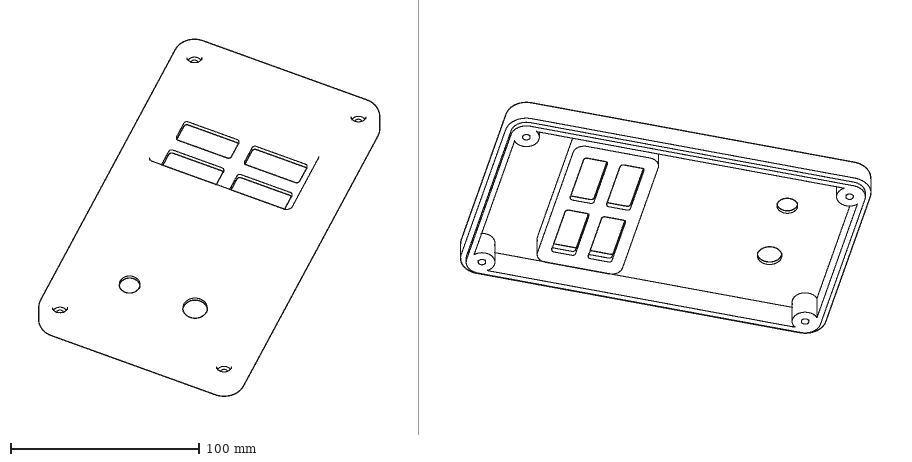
import cadquery as cq

LENGTH_X = 117.9
LENGTH_Y = 199.8
HEIGHT = 16.8
EDGE_ROUND = 3.0

SCREW_PITCH_X = 95.1
CORNER_RADIUS = (LENGTH_X - SCREW_PITCH_X) / 2
SCREW_PITCH_Y = LENGTH_Y - 2 * CORNER_RADIUS
SCREW_HOLE_DIAMETER = 4
SCREW_HEAD_DIAMETER = 7.8
SCREW_HEAD_DEPTH = 8

LIP_HEIGHT = 2.8
LIP_INSET = 3.0
LIP_WIDTH = 3.0
TOP_THICKNESS = 2
SKIN = 3.0
CAVITY_INSET = LIP_INSET + LIP_WIDTH
CAVITY_HEIGHT = HEIGHT - TOP_THICKNESS
BOSS_DIAMETER = SCREW_HEAD_DIAMETER + 2 * SKIN

PANEL_X = -2.2
PANEL_Y = 37.8
PANEL_LENGTH_X = 82.3
PANEL_LENGTH_Y = 40.5
PANEL_DEPTH = 11.0
PANEL_FLOOR_THICKNESS = 3.0
PANEL_FLOOR_Z = HEIGHT - PANEL_DEPTH

SLOT_LENGTH_X = 31.8
SLOT_LENGTH_Y = 13.0
SLOT_CORNER_RADIUS = 1.5
SLOT_PITCH_X = 39.5
SLOT_PITCH_Y = 20

ROUND_HOLES = [(-19.0, 11.0), (19.0, 13.0)]
ROUND_HOLES_Y = -61.7


def rounded_block(length_x, length_y, height, corner_radius):
    """Block standing on Z = 0 with rounded vertical edges."""
    block = cq.Workplane("XY").box(length_x, length_y, height, centered=(True, True, False))
    return block.edges("|Z").fillet(corner_radius)


def inset_block(inset, height):
    """Block that follows the body outline at an even inset."""
    return rounded_block(LENGTH_X - 2 * inset, LENGTH_Y - 2 * inset, height, CORNER_RADIUS - inset)


def at_screws():
    """Workplane at Z = 0 with a point at each corner screw."""
    return cq.Workplane("XY").rarray(SCREW_PITCH_X, SCREW_PITCH_Y, 2, 2)


def make_body():
    """Solid body with a rounded top edge and a stepped lip below."""
    body = inset_block(0, HEIGHT - LIP_HEIGHT).faces(">Z").edges().fillet(EDGE_ROUND)
    lip = inset_block(LIP_INSET, HEIGHT - EDGE_ROUND)
    return body.translate((0, 0, LIP_HEIGHT)).union(lip)


def make_cavity():
    """Hollow of the underside, less the screw bosses and the tub around the panel."""
    bosses = at_screws().circle(BOSS_DIAMETER / 2).extrude(HEIGHT)
    tub = rounded_block(
        PANEL_LENGTH_X + 2 * SKIN, PANEL_LENGTH_Y + 2 * SKIN, HEIGHT, EDGE_ROUND + SKIN
    ).translate((PANEL_X, PANEL_Y, PANEL_FLOOR_Z - PANEL_FLOOR_THICKNESS))
    return inset_block(CAVITY_INSET, CAVITY_HEIGHT).cut(bosses).cut(tub)


def make_panel_recess():
    """Tub-shaped recess with rounded corners and a rounded foot."""
    recess = rounded_block(PANEL_LENGTH_X, PANEL_LENGTH_Y, PANEL_DEPTH, EDGE_ROUND)
    recess = recess.faces("<Z").edges().fillet(EDGE_ROUND)
    return recess.translate((PANEL_X, PANEL_Y, PANEL_FLOOR_Z))


def make_slots():
    """Two by two grid of slots that pass through the panel floor."""
    slot = rounded_block(SLOT_LENGTH_X, SLOT_LENGTH_Y, HEIGHT, SLOT_CORNER_RADIUS).val()
    slots = cq.Workplane("XY").rarray(SLOT_PITCH_X, SLOT_PITCH_Y, 2, 2)
    slots = slots.eachpoint(lambda place: slot.moved(place))
    return slots.translate((PANEL_X, PANEL_Y, 0))


body = make_body().cut(make_cavity())

head_seats = at_screws().circle(SCREW_HEAD_DIAMETER / 2).extrude(SCREW_HEAD_DEPTH)
body = body.cut(make_panel_recess()).cut(head_seats.translate((0, 0, HEIGHT - SCREW_HEAD_DEPTH)))
mouth_edges = [edge for wire in body.faces(">Z").val().innerWires() for edge in wire.Edges()]
body = body.newObject(mouth_edges).fillet(EDGE_ROUND)

body = body.cut(at_screws().circle(SCREW_HOLE_DIAMETER / 2).extrude(HEIGHT))
body = body.cut(make_slots())
for hole_x, diameter in ROUND_HOLES:
    hole = cq.Workplane("XY").center(hole_x, ROUND_HOLES_Y).circle(diameter / 2).extrude(HEIGHT)
    body = body.cut(hole)

result = body